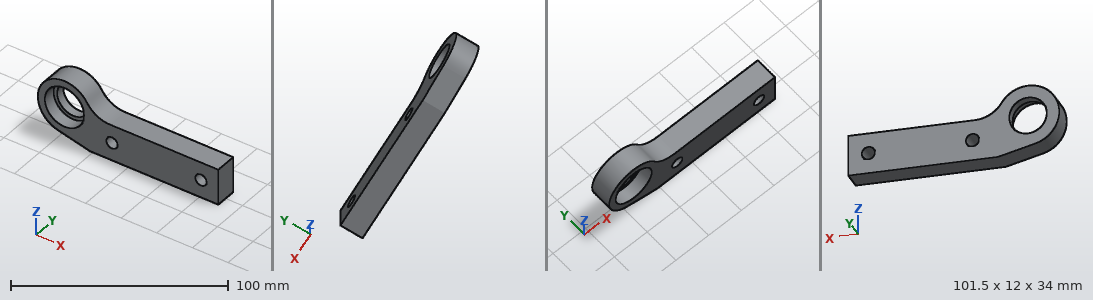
import cadquery as cq
import math

length = 101.5
thickness = 12.0
bar_height = 20.0

ring_radius = 15.0
ring_x = ring_radius
ring_z = 19.0
bore_diameter = 18.0
seat_diameter = 22.0
seat_depth = 7.0

blend_radius = 15.0
underside_start_x = 29.4

hole_diameter = 6.3
hole_end_distance = 9.7
hole_spacing = 50.0


def ring_point(angle):
    """Point on the ring's outer circle at an angle in radians."""
    return (ring_x + ring_radius * math.cos(angle), ring_z + ring_radius * math.sin(angle))


blend_z = bar_height + blend_radius
blend_rise = blend_z - ring_z
blend_x = ring_x + math.sqrt((ring_radius + blend_radius) ** 2 - blend_rise ** 2)
blend_angle = math.atan2(blend_rise, blend_x - ring_x)
blend_mid_angle = (blend_angle + 2.5 * math.pi) / 2
blend_middle = (
    blend_x + blend_radius * math.cos(blend_mid_angle),
    blend_z + blend_radius * math.sin(blend_mid_angle),
)

corner_run = underside_start_x - ring_x
corner_distance = math.hypot(corner_run, ring_z)
underside_angle = math.atan2(-ring_z, corner_run) - math.acos(ring_radius / corner_distance)

body = (
    cq.Workplane("XZ")
    .moveTo(underside_start_x, 0)
    .lineTo(length, 0)
    .lineTo(length, bar_height)
    .lineTo(blend_x, bar_height)
    .threePointArc(blend_middle, ring_point(blend_angle))
    .threePointArc(ring_point(math.pi), ring_point(underside_angle))
    .close()
    .extrude(-thickness)
)


def front_cut(x, z, diameter, depth):
    """Cylinder running from the front face into the part."""
    return cq.Workplane("XZ").center(x, z).circle(diameter / 2).extrude(-depth)


body = body.cut(front_cut(ring_x, ring_z, bore_diameter, thickness))
body = body.cut(front_cut(ring_x, ring_z, seat_diameter, seat_depth))

outer_hole_x = length - hole_end_distance
for hole_x in (outer_hole_x - hole_spacing, outer_hole_x):
    body = body.cut(front_cut(hole_x, bar_height / 2, hole_diameter, thickness))

result = body